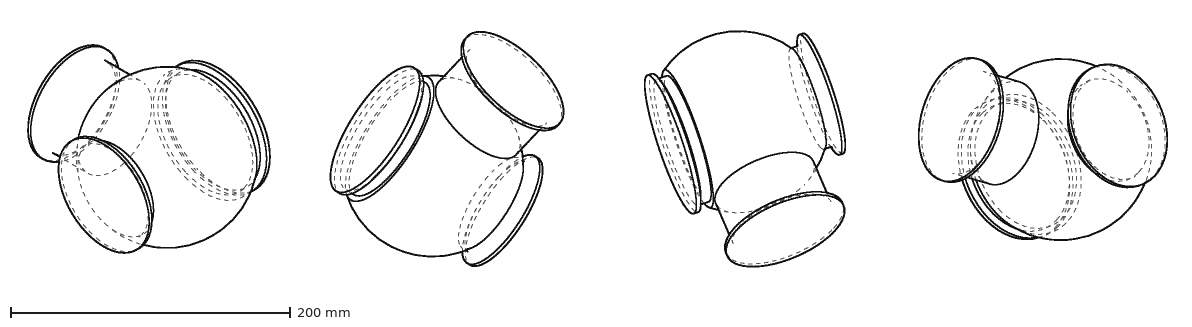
import cadquery as cq
import math

body_diameter = 130.1
body_radius = body_diameter / 2
seat_y = 39.0

pipe_diameter = 76.2
flange_diameter = 91.0
flange_rim = 2.7
root_radius = 2.9
side_port_reach = 94.8
crown_diameter = 13.7
front_port_reach = math.sqrt(body_radius**2 - (crown_diameter / 2) ** 2)

collar_diameter = 95.3
large_flange_diameter = 104.7
large_flange_rim = 3.5
large_port_reach = 52.1

flange_angle = math.radians(20)


def clamp_port(pipe_dia, flange_dia, rim, root, reach):
    """Solid clamp port about Z, running from the origin up to its face at z = reach."""
    pipe_r = pipe_dia / 2
    flange_r = flange_dia / 2
    rim_z = reach - rim
    fillet_r = pipe_r + root * (1 - math.sin(flange_angle))
    fillet_z = rim_z - (flange_r - fillet_r) * math.tan(flange_angle)
    profile = (
        cq.Workplane("XZ")
        .lineTo(0, reach)
        .lineTo(flange_r, reach)
        .lineTo(flange_r, rim_z)
        .lineTo(fillet_r, fillet_z)
    )
    if root > 0:
        pipe_end_z = fillet_z - root * math.cos(flange_angle)
        mid_angle = (math.pi / 2 - flange_angle) / 2
        mid_r = pipe_r + root * (1 - math.cos(mid_angle))
        mid_z = pipe_end_z + root * math.sin(mid_angle)
        profile = profile.threePointArc((mid_r, mid_z), (pipe_r, pipe_end_z))
    return profile.lineTo(pipe_r, 0).close().revolve(360, (0, 0), (0, 1))


def body():
    """Sphere with its +Y cap removed, revolved about Y."""
    seat_radius = math.sqrt(body_radius**2 - seat_y**2)
    return (
        cq.Workplane("XY")
        .moveTo(0, -body_radius)
        .threePointArc((body_radius, 0), (seat_radius, seat_y))
        .lineTo(0, seat_y)
        .close()
        .revolve(360, (0, 0), (0, 1))
    )


def small_port(reach):
    return clamp_port(pipe_diameter, flange_diameter, flange_rim, root_radius, reach)


origin = (0, 0, 0)
side_port = small_port(side_port_reach).rotate(origin, (0, 1, 0), -90)
front_port = small_port(front_port_reach).rotate(origin, (1, 0, 0), 90)
large_port = clamp_port(
    collar_diameter, large_flange_diameter, large_flange_rim, 0, large_port_reach
).rotate(origin, (1, 0, 0), -90)

result = body().union(side_port).union(front_port).union(large_port)